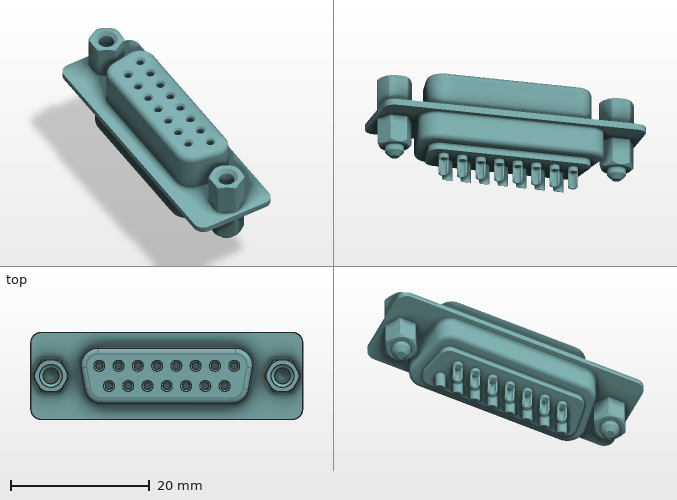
import cadquery as cq
import math


flange_length = 39.15
flange_width = 12.55
flange_thickness = 0.9
flange_corner_radius = 1.53

side_slant = math.radians(10)
shell_base_fillet = 0.25

front_shell_mid_width = 24.2
front_shell_depth = 7.95
front_shell_height = 5.8
front_shell_corner_radius = 2.43
front_shell_rim_fillet = 0.8

rear_shell_mid_width = 26.6
rear_shell_depth = 10.72
rear_shell_height = 4.05
rear_shell_corner_radius = 2.55
rear_shell_rim_fillet = 0.7
rear_shell_z = -flange_thickness - rear_shell_height

insulator_mid_width = 23.55
insulator_depth = 6.95
insulator_height = 0.98
insulator_corner_radius = 1.55
insulator_z = rear_shell_z - insulator_height

long_row_count = 8
long_row_span = 19.4
contact_pitch = long_row_span / (long_row_count - 1)
row_offset = 1.45

socket_radius = 0.5
socket_mouth_radius = 0.8
socket_mouth_depth = 0.27
socket_depth = 3.15

cup_radius = 0.75
cup_bore_radius = 0.5
cup_length = 3.0
cup_collar_length = 0.7
cup_face_offset = 0.08
cup_notch_radius = 0.47
cup_tip_radius = 0.8
cup_end_z = insulator_z - cup_length
cup_collar_z = insulator_z - cup_collar_length

screw_spacing = 33.3
post_across_flats = 4.6
post_corner_diameter = 5.15
post_top_z = 5.2
post_chamfer_width = 0.25
post_chamfer_height = 0.2
washer_radius = 2.27
washer_height = 0.25
screw_bore_radius = 1.15
screw_bore_depth = 3.52
screw_mouth_radius = 1.65
drill_tip_height = 0.65

nut_across_flats = 4.4
nut_corner_radius = nut_across_flats / math.sqrt(3)
nut_chamfer = 0.45
stud_radius = 1.37
stud_length = 1.55
stud_chamfer = 0.7


def d_body(mid_width, depth, corner_radius, bottom_z, height):
    """A D-shaped prism, wider at +Y, with rounded upright corners."""
    slant_shift = depth / 2 * math.tan(side_slant)
    wide = mid_width / 2 + slant_shift
    narrow = mid_width / 2 - slant_shift
    corners = [(-wide, depth / 2), (wide, depth / 2), (narrow, -depth / 2), (-narrow, -depth / 2)]
    prism = cq.Workplane("XY").workplane(offset=bottom_z).polyline(corners).close().extrude(height)
    return prism.edges("|Z").fillet(corner_radius)


def hexagon(across_flats, bottom_z, height):
    """A hexagonal prism with corners on the X axis."""
    across_corners = 2 * across_flats / math.sqrt(3)
    return cq.Workplane("XY").workplane(offset=bottom_z).polygon(6, across_corners).extrude(height)


def cylinder(radius, bottom_z, height):
    return cq.Workplane("XY").workplane(offset=bottom_z).circle(radius).extrude(height)


def turned(profile):
    """A solid of revolution about the Z axis from (radius, z) points."""
    return cq.Workplane("XZ").polyline(profile).close().revolve(360, (0, 0, 0), (0, 1, 0))


def contact_places():
    """(x, y, outward) of every contact; outward is the Y sign of its row."""
    places = []
    for count, outward in ((long_row_count, 1), (long_row_count - 1, -1)):
        for index in range(count):
            x = (index - (count - 1) / 2) * contact_pitch
            places.append((x, outward * row_offset, outward))
    return places


def flanged_shell():
    plate = (
        cq.Workplane("XY")
        .workplane(offset=-flange_thickness)
        .rect(flange_length, flange_width)
        .extrude(flange_thickness)
        .edges("|Z")
        .fillet(flange_corner_radius)
    )
    front = d_body(
        front_shell_mid_width, front_shell_depth, front_shell_corner_radius, 0, front_shell_height
    )
    front = front.faces(">Z").edges().fillet(front_shell_rim_fillet)
    rear = d_body(
        rear_shell_mid_width, rear_shell_depth, rear_shell_corner_radius, rear_shell_z, rear_shell_height
    )
    rear = rear.faces("<Z").edges().fillet(rear_shell_rim_fillet)
    body = plate.union(front).union(rear)

    margin = 0.4
    reach_x = flange_length / 2 - margin
    reach_y = flange_width / 2 - margin
    within_flange = cq.selectors.BoxSelector(
        (-reach_x, -reach_y, -flange_thickness - margin),
        (reach_x, reach_y, margin),
        boundingbox=True,
    )
    body = body.edges(within_flange).fillet(shell_base_fillet)

    insulator = d_body(
        insulator_mid_width, insulator_depth, insulator_corner_radius, insulator_z, insulator_height
    )
    return body.union(insulator)


def socket_hole():
    """Cutter for one contact hole with a countersunk mouth."""
    top = front_shell_height
    return turned([
        (0, top),
        (socket_mouth_radius, top),
        (socket_radius, top - socket_mouth_depth),
        (socket_radius, top - socket_depth),
        (0, top - socket_depth),
    ])


def solder_cup():
    """One cup about the Z axis, open towards +Y."""
    pin = cylinder(cup_radius, cup_end_z, cup_length)
    bore = cylinder(cup_bore_radius, cup_end_z, cup_collar_z - cup_end_z)

    outer_y = 2 * cup_radius
    notch_centre = (cup_face_offset + cup_notch_radius, cup_collar_z - cup_notch_radius)
    tip_centre = (cup_face_offset - cup_tip_radius, cup_end_z + cup_tip_radius)
    diagonal = math.sqrt(0.5)
    opening = (
        cq.Workplane("YZ")
        .moveTo(outer_y, cup_collar_z)
        .lineTo(notch_centre[0], cup_collar_z)
        .threePointArc(
            (notch_centre[0] - cup_notch_radius * diagonal, notch_centre[1] + cup_notch_radius * diagonal),
            (cup_face_offset, notch_centre[1]),
        )
        .lineTo(cup_face_offset, tip_centre[1])
        .threePointArc(
            (tip_centre[0] + cup_tip_radius * diagonal, tip_centre[1] - cup_tip_radius * diagonal),
            (tip_centre[0], cup_end_z),
        )
        .lineTo(outer_y, cup_end_z)
        .close()
        .extrude(2 * cup_radius, both=True)
    )
    return pin.cut(bore).cut(opening)


def jack_screw():
    """Hexagonal bored post above the flange, hexagon nut and stud below it, all about the Z axis."""
    post_radius = post_corner_diameter / 2
    post_envelope = turned([
        (0, washer_height),
        (post_radius, washer_height),
        (post_radius, post_top_z - post_chamfer_height),
        (post_radius - post_chamfer_width, post_top_z),
        (0, post_top_z),
    ])
    post = hexagon(post_across_flats, washer_height, post_top_z - washer_height).intersect(post_envelope)
    post = post.union(cylinder(washer_radius, 0, washer_height))
    mouth_depth = screw_mouth_radius - screw_bore_radius
    bore_end = post_top_z - screw_bore_depth
    post = post.cut(turned([
        (0, post_top_z),
        (screw_mouth_radius, post_top_z),
        (screw_bore_radius, post_top_z - mouth_depth),
        (screw_bore_radius, bore_end),
        (0, bore_end - drill_tip_height),
    ]))

    nut_envelope = turned([
        (0, 0),
        (nut_corner_radius, 0),
        (nut_corner_radius, rear_shell_z + nut_chamfer),
        (nut_corner_radius - nut_chamfer, rear_shell_z),
        (0, rear_shell_z),
    ])
    nut = hexagon(nut_across_flats, rear_shell_z, -rear_shell_z).intersect(nut_envelope)
    stud = cylinder(stud_radius, rear_shell_z - stud_length, stud_length)
    stud = stud.faces("<Z").chamfer(stud_chamfer)
    return post.union(nut).union(stud)


result = flanged_shell()

hole = socket_hole()
cup = solder_cup()
cup_towards = {1: cup, -1: cup.mirror("XZ")}
for x, y, outward in contact_places():
    result = result.cut(hole.translate((x, y, 0)))
    result = result.union(cup_towards[outward].translate((x, y, 0)))

screw = jack_screw()
for side in (-1, 1):
    result = result.union(screw.translate((side * screw_spacing / 2, 0, 0)))